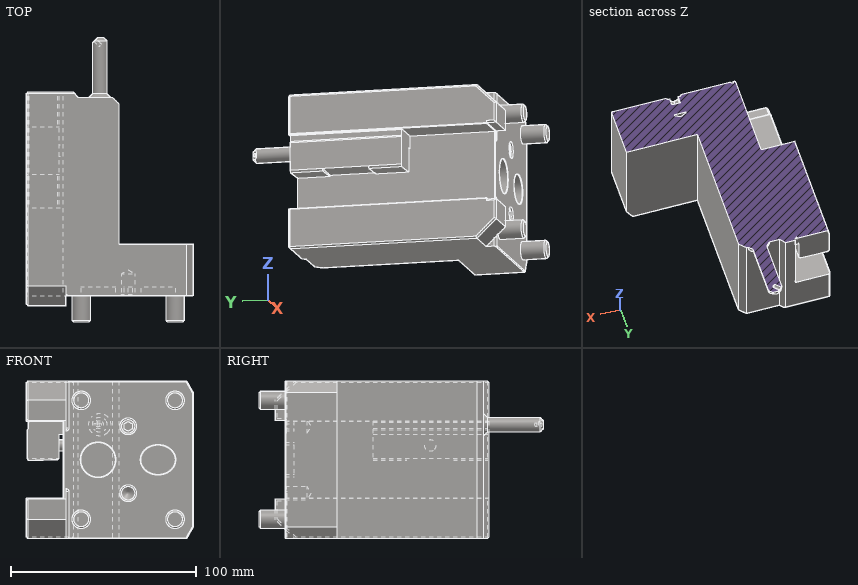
import cadquery as cq
import math

HEIGHT = 85.0
MID_Z = HEIGHT / 2
FLANGE_WIDTH = 90.0
FLANGE_THICKNESS = 28.0
ARM_WIDTH = 50.0
ARM_BACK = 110.0
ARM_BACK_CHAMFER = 1.0
STEP_DEPTH = 3.0
STEP_START_X = 25.4
STEP_END_X = 28.0
ARM_CORNER_CHAMFER = 3.5
FLANGE_CORNER_WIDTH = 3.6
FLANGE_CORNER_HEIGHT = FLANGE_CORNER_WIDTH * math.sqrt(3)
EDGE_CHAMFER = 0.5

CHANNEL_WIDTH = 41.0
CHANNEL_DEPTH = 19.9
CHANNEL_BOTTOM = MID_Z - CHANNEL_WIDTH / 2
CHANNEL_TOP = MID_Z + CHANNEL_WIDTH / 2
JAW_DEPTH = 21.4
NOSE_LENGTH = 5.2
NOSE_SETBACK = 0.6
NOSE_SLOPE_LENGTH = 10.7
NOSE_SLOPE_HEIGHT = 10.3
JAW_CHAMFER = 1.0
JAW_INNER_CHAMFER = 0.4

RELIEF_WIDTH = 1.7
RELIEF_DEPTH = 1.1
RELIEF_OVERRUN = 5.0

BLOCK_FRONT = 47.4
BLOCK_BACK = 109.1
BLOCK_LEFT = 0.5
BLOCK_RIGHT = 17.7
BLOCK_BOTTOM = 42.0
BLOCK_BOTTOM_RISE = 0.5
BLOCK_LEFT_CHAMFER_WIDTH = 0.7
BLOCK_LEFT_CHAMFER_HEIGHT = 1.3
BLOCK_RIGHT_CHAMFER = 0.8
BLOCK_NECK_LEFT = 1.0
BLOCK_NECK_CHAMFER = 0.5
BLOCK_NECK_LOW = 58.5
BLOCK_NECK_HIGH = 59.3
BLOCK_LEDGE_Z = 56.1
BLOCK_RECESS_FRONT = 65.6
BLOCK_RECESS_BACK = 91.1
BLOCK_RECESS_DEPTH = 1.3
STEM_DIAMETER = 6.2
STEM_Z = 50.2

PIN_DIAMETER = 10.0
PIN_LENGTH = 14.0
PIN_CHAMFER = 1.0
PIN_CENTER_X = 54.9
PIN_SPACING_X = 50.5
PIN_SPACING_Z = 64.0

POCKET_DEPTH = 5.0
POCKET_DIAMETER = 18.6
POCKET_RIM_CHAMFER = 0.3
ROUND_POCKET_X = 38.7
OVAL_POCKET_X = 71.0
OVAL_POCKET_HEIGHT = 15.8
HOLE_X = PIN_CENTER_X
HOLE_SPACING_Z = 36.0
HOLE_DIAMETER = 7.2
HOLE_MOUTH_DIAMETER = 9.0
HOLE_DEPTH = 12.0
DRILL_POINT_ANGLE = 118.0
SCREW_RECESS = 1.0
HEX_ACROSS_FLATS = 4.5
HEX_DEPTH = 4.0

TUBE_X = 39.6
TUBE_Z = 61.4
TUBE_DIAMETER = 8.0
TUBE_END = 139.34
TUBE_TIP_CHAMFER = 1.9
TUBE_FACET = 2.9
TUBE_FLARE = 2.0
NOZZLE_DIAMETER = 1.8
NOZZLE_LENGTH = 4.0

STEP_Y = ARM_BACK - STEP_DEPTH


def box(x0, x1, y0, y1, z0, z1):
    """Axis-aligned box between opposite corners."""
    return cq.Workplane("XY").box(x1 - x0, y1 - y0, z1 - z0, centered=False).translate((x0, y0, z0))


def revolve_along_y(profile, x, z):
    """Revolve a (radius, y) profile about a Y-directed axis at (x, z)."""
    turned = cq.Workplane("XY").polyline(profile).close().revolve(360, (0, 0, 0), (0, 1, 0))
    return turned.translate((x, 0, z))


def face_plane(y, x, z):
    """Work plane facing -Y, so that a positive extrusion leaves the part."""
    return cq.Workplane("XZ", origin=(x, y, z))


def make_body():
    plan = [
        (0, 0),
        (FLANGE_WIDTH, 0),
        (FLANGE_WIDTH, FLANGE_THICKNESS),
        (ARM_WIDTH, FLANGE_THICKNESS),
        (ARM_WIDTH, STEP_Y - ARM_CORNER_CHAMFER),
        (ARM_WIDTH - ARM_CORNER_CHAMFER, STEP_Y),
        (STEP_END_X, STEP_Y),
        (STEP_START_X, ARM_BACK),
        (0, ARM_BACK),
    ]
    body = cq.Workplane("XY").polyline(plan).close().extrude(HEIGHT)

    for z, inward in ((0, 1), (HEIGHT, -1)):
        corner = [
            (FLANGE_WIDTH, z),
            (FLANGE_WIDTH - FLANGE_CORNER_WIDTH, z),
            (FLANGE_WIDTH, z + inward * FLANGE_CORNER_HEIGHT),
        ]
        body = body.cut(cq.Workplane("XZ").polyline(corner).close().extrude(-FLANGE_THICKNESS))
    body = body.cut(box(0, CHANNEL_DEPTH, 0, ARM_BACK, CHANNEL_BOTTOM, CHANNEL_TOP))
    return body.faces("<Y").edges().chamfer(EDGE_CHAMFER)


def make_upper_jaw():
    nose_low = CHANNEL_TOP + NOSE_SETBACK
    side = [
        (-NOSE_LENGTH, nose_low),
        (-NOSE_LENGTH, HEIGHT - NOSE_SLOPE_HEIGHT),
        (NOSE_SLOPE_LENGTH - NOSE_LENGTH, HEIGHT),
        (ARM_BACK, HEIGHT),
        (ARM_BACK, nose_low),
    ]
    jaw = cq.Workplane("YZ").polyline(side).close().extrude(JAW_DEPTH)
    jaw = jaw.faces("<X").edges().chamfer(JAW_CHAMFER)

    lip = box(0, JAW_DEPTH, 0, ARM_BACK, CHANNEL_TOP, nose_low + JAW_CHAMFER)
    lip = lip.edges("<X and >Y").chamfer(JAW_CHAMFER)
    lip = lip.edges("<X and <Z").chamfer(JAW_INNER_CHAMFER)
    return jaw.union(lip)


def make_upper_relief():
    """Bevel sloping into the flange face toward the nose, with a conical lower end."""
    low_z = CHANNEL_TOP - RELIEF_OVERRUN + RELIEF_WIDTH
    section = [(JAW_DEPTH, 0), (JAW_DEPTH + RELIEF_WIDTH, 0), (JAW_DEPTH, RELIEF_DEPTH)]
    bevel = cq.Workplane("XY", origin=(0, 0, low_z)).polyline(section).close().extrude(HEIGHT - low_z)
    cone = revolve_along_y([(0, 0), (RELIEF_WIDTH, 0), (0, RELIEF_DEPTH)], JAW_DEPTH, low_z)
    lower_end = cone.intersect(box(JAW_DEPTH, JAW_DEPTH + RELIEF_WIDTH, 0, RELIEF_DEPTH, 0, low_z))
    return bevel.union(lower_end)


def mirrored_pair(upper):
    lower = upper.mirror("XY", (0, 0, MID_Z))
    return upper, lower


def make_block():
    outline = [
        (BLOCK_LEFT + BLOCK_LEFT_CHAMFER_WIDTH, BLOCK_BOTTOM),
        (BLOCK_RIGHT - BLOCK_RIGHT_CHAMFER, BLOCK_BOTTOM + BLOCK_BOTTOM_RISE),
        (BLOCK_RIGHT, BLOCK_BOTTOM + BLOCK_BOTTOM_RISE + BLOCK_RIGHT_CHAMFER),
        (BLOCK_RIGHT, BLOCK_LEDGE_Z),
        (CHANNEL_DEPTH, BLOCK_LEDGE_Z),
        (CHANNEL_DEPTH, CHANNEL_TOP),
        (BLOCK_NECK_LEFT + BLOCK_NECK_CHAMFER, CHANNEL_TOP),
        (BLOCK_NECK_LEFT, CHANNEL_TOP - BLOCK_NECK_CHAMFER),
        (BLOCK_NECK_LEFT, BLOCK_NECK_HIGH),
        (BLOCK_LEFT, BLOCK_NECK_LOW),
        (BLOCK_LEFT, BLOCK_BOTTOM + BLOCK_LEFT_CHAMFER_HEIGHT),
    ]
    length = BLOCK_BACK - BLOCK_FRONT
    block = face_plane(BLOCK_FRONT, 0, 0).polyline(outline).close().extrude(-length)
    block = block.cut(box(0, BLOCK_RIGHT, BLOCK_RECESS_FRONT, BLOCK_RECESS_BACK,
                          BLOCK_BOTTOM, BLOCK_BOTTOM + BLOCK_RECESS_DEPTH))
    stem_y = (BLOCK_FRONT + BLOCK_BACK) / 2
    stem = cq.Workplane("YZ", origin=(BLOCK_RIGHT, stem_y, STEM_Z)).circle(STEM_DIAMETER / 2)
    return block.union(stem.extrude(CHANNEL_DEPTH - BLOCK_RIGHT))


def make_pins():
    pins = face_plane(0, PIN_CENTER_X, MID_Z).rarray(PIN_SPACING_X, PIN_SPACING_Z, 2, 2)
    pins = pins.circle(PIN_DIAMETER / 2).extrude(PIN_LENGTH)
    return pins.faces("<Y").edges().chamfer(PIN_CHAMFER)


def make_pocket(x, height):
    """Shallow round or oval pocket with a lightly chamfered rim."""
    half_width = POCKET_DIAMETER / 2
    half_height = height / 2
    straight = face_plane(0, x, MID_Z).ellipse(half_width, half_height).extrude(-POCKET_DEPTH)
    rim = face_plane(0, x, MID_Z).ellipse(half_width + POCKET_RIM_CHAMFER, half_height + POCKET_RIM_CHAMFER)
    rim = rim.workplane(offset=-POCKET_RIM_CHAMFER).ellipse(half_width, half_height).loft()
    return straight.union(rim)


def make_drilled_hole(z):
    """Countersunk blind hole with a conical drill point."""
    radius = HOLE_DIAMETER / 2
    mouth = HOLE_MOUTH_DIAMETER / 2
    point = radius / math.tan(math.radians(DRILL_POINT_ANGLE / 2))
    profile = [(0, 0), (mouth, 0), (radius, mouth - radius), (radius, HOLE_DEPTH), (0, HOLE_DEPTH + point)]
    return revolve_along_y(profile, HOLE_X, z)


def make_set_screw(z):
    """Hex-socket screw filling a hole, sunk by the depth of its countersink."""
    shank = face_plane(SCREW_RECESS, HOLE_X, z).circle(HOLE_DIAMETER / 2).extrude(SCREW_RECESS - HOLE_DEPTH)
    across_corners = HEX_ACROSS_FLATS / math.cos(math.pi / 6)
    socket = cq.Workplane("XZ").polygon(6, across_corners).extrude(-HEX_DEPTH)
    socket = socket.rotate((0, 0, 0), (0, 1, 0), 360 / 12).translate((HOLE_X, SCREW_RECESS, z))
    return shank.cut(socket)


def make_tube():
    radius = TUBE_DIAMETER / 2
    profile = [
        (0, STEP_Y),
        (radius + TUBE_FLARE, STEP_Y),
        (radius, STEP_Y + TUBE_FLARE),
        (radius, TUBE_END - TUBE_TIP_CHAMFER),
        (radius - TUBE_TIP_CHAMFER, TUBE_END),
        (0, TUBE_END),
    ]
    tube = revolve_along_y(profile, TUBE_X, TUBE_Z)

    left = TUBE_X - radius
    facet = [(left, TUBE_END), (left + TUBE_FACET, TUBE_END), (left, TUBE_END - TUBE_FACET)]
    tube = tube.cut(cq.Workplane("XY").polyline(facet).close().extrude(HEIGHT))
    nozzle_plane = cq.Plane(
        origin=(left + TUBE_FACET / 2, TUBE_END - TUBE_FACET / 2, TUBE_Z),
        xDir=(0, 0, 1),
        normal=(1, -1, 0),
    )
    return tube.cut(cq.Workplane(nozzle_plane).circle(NOZZLE_DIAMETER / 2).extrude(NOZZLE_LENGTH))


upper_hole_z = MID_Z + HOLE_SPACING_Z / 2
lower_hole_z = MID_Z - HOLE_SPACING_Z / 2

result = make_body()
for jaw_space in mirrored_pair(box(0, JAW_DEPTH, 0, ARM_BACK, CHANNEL_TOP, HEIGHT)):
    result = result.cut(jaw_space)
for jaw in mirrored_pair(make_upper_jaw()):
    result = result.union(jaw)
result = result.faces(">Y").edges(">Z or <Z").chamfer(ARM_BACK_CHAMFER)
for relief in mirrored_pair(make_upper_relief()):
    result = result.cut(relief)
result = result.cut(make_pocket(ROUND_POCKET_X, POCKET_DIAMETER))
result = result.cut(make_pocket(OVAL_POCKET_X, OVAL_POCKET_HEIGHT))
for hole_z in (lower_hole_z, upper_hole_z):
    result = result.cut(make_drilled_hole(hole_z))
result = result.union(make_set_screw(upper_hole_z))
result = result.union(make_block())
result = result.union(make_pins())
result = result.union(make_tube())